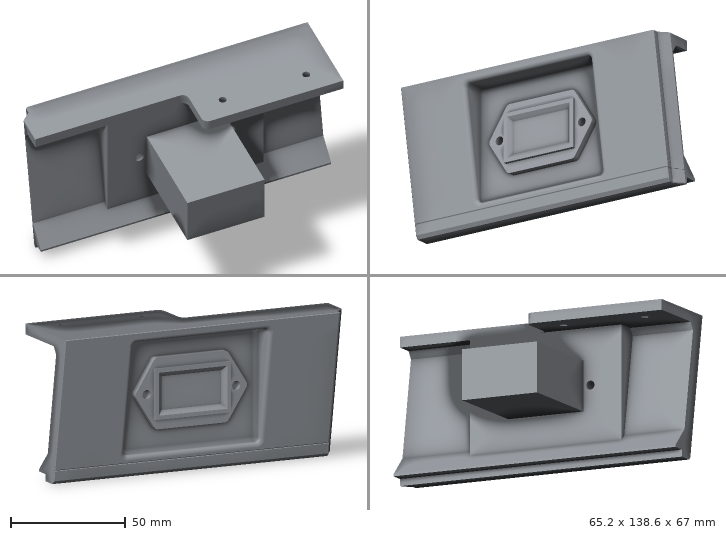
import cadquery as cq
import math

LENGTH = 138.6
HEIGHT = 67.0
TOTAL_DEPTH = 65.3

LEAN = math.tan(math.radians(10.2))
PANEL_THICKNESS = 8.0
RIM_DEPTH = 20.2
PLATE_THICKNESS = 4.9
PLATE_INNER_RUN = 2.9
PLATE_INNER_DROP = 3.3
TAIL_DEPTH = 26.5
TAIL_BOTTOM = 3.2
TAIL_TIP_HEIGHT = 1.0
FOOT_CHAMFER = 1.5
SPLIT_HEIGHT = 6.4
EDGE_CHAMFER = 0.3

END_STEP = 4.0
END_LAND = 3.2
END_NIP_DEPTH = 0.4
HOUSING_NIP_LENGTH = 0.8
STRIP_NIP_LENGTH = 0.4

PLATE_DEPTH = 40.0
PLATE_WIDE_START = 72.1
PLATE_CORNER_RADIUS = 3.0
MOUNT_HOLE_DIAMETER = 3.5
MOUNT_HOLE_X = 30.1
MOUNT_HOLE_YS = (85.2, 125.2)

CENTER_Y = 71.7
CENTER_Z = 36.3
RECESS_WIDTH = 66.5
RECESS_HEIGHT = 52.8
RECESS_FLOOR_X = 14.7
RECESS_RADIUS = 2.0
BOX_WALL = 4.0

BODY_WIDTH = 36.9
BODY_HEIGHT = 22.9
BEZEL_PROTRUSION = 5.4
FLANGE_THICKNESS = 3.6
FLANGE_HALF_WIDTH = 27.7
FLANGE_FLAT_HALF_WIDTH = 17.6
FLANGE_HALF_HEIGHT = 16.1
FLANGE_CORNER_RADIUS = 2.5
MOUTH_WIDTH = 33.4
MOUTH_HEIGHT = 19.3
MOUTH_TAPER = 2.1
MOUTH_DEPTH = 2.0
SCREW_DIAMETER = 4.0
SCREW_OFFSET = 21.9


def front_x(z):
    """X of the leaning front face at height z."""
    return (HEIGHT - z) * LEAN


def inner_x(z):
    """X of the leaning inner face at height z."""
    return front_x(z) + PANEL_THICKNESS


def diagonal_x(z):
    """X of the 45 degree upper side of the tail at height z."""
    return TAIL_DEPTH + TAIL_BOTTOM + TAIL_TIP_HEIGHT - z


def edge_at(x, y, z):
    """Selector for the edge nearest to a point."""
    return cq.selectors.NearestToPointSelector((x, y, z))


def near_end_edges(z):
    """Selector for the edges of the near end outline at height z."""
    margin = 0.1
    return cq.selectors.BoxSelector(
        (0, -margin, z - margin), (RIM_DEPTH, END_STEP + HOUSING_NIP_LENGTH, z + margin))


def outline_edges(z):
    """Selector for the front edge and the near end edges at height z."""
    return edge_at(front_x(z), LENGTH / 2, z) + near_end_edges(z)


def block(x_range, y_range, z_range):
    """Box between the given limits."""
    (x0, x1), (y0, y1), (z0, z1) = x_range, y_range, z_range
    return cq.Workplane("XY").box(x1 - x0, y1 - y0, z1 - z0, centered=False).translate((x0, y0, z0))


def section_prism(points):
    """Prism along the full length from XZ section points."""
    return cq.Workplane("XZ").polyline(points).close().extrude(-LENGTH)


def facing_plane(x):
    """Plane at depth x on the shared centre, looking along +X: local x is Y, local y is Z."""
    return cq.Workplane("YZ", origin=(x, CENTER_Y, CENTER_Z))


def cut_near_end(body, nip_length):
    """Step the near end back and bevel it at 45 degrees, following the leaning face."""
    corners = [
        (-TOTAL_DEPTH, 0),
        (END_LAND + END_STEP, 0),
        (END_LAND, END_STEP),
        (END_NIP_DEPTH, END_STEP),
        (0, END_STEP + nip_length),
        (-TOTAL_DEPTH, END_STEP + nip_length),
    ]
    wire = cq.Wire.makePolygon([cq.Vector(x, y, HEIGHT) for x, y in corners], close=True)
    notch = cq.Solid.extrudeLinear(wire, [], cq.Vector(front_x(0), 0, -HEIGHT))
    return body.cut(cq.Workplane(notch))


def make_panel():
    """Leaning panel with its top rim and the upper part of the tail."""
    plate_under = HEIGHT - PLATE_THICKNESS
    knee_z = (diagonal_x(0) - inner_x(0)) / (1 - LEAN)
    panel = section_prism([
        (0, HEIGHT),
        (RIM_DEPTH, HEIGHT),
        (RIM_DEPTH, plate_under),
        (inner_x(plate_under) + PLATE_INNER_RUN, plate_under),
        (inner_x(plate_under - PLATE_INNER_DROP), plate_under - PLATE_INNER_DROP),
        (diagonal_x(knee_z), knee_z),
        (diagonal_x(SPLIT_HEIGHT), SPLIT_HEIGHT),
        (front_x(SPLIT_HEIGHT), SPLIT_HEIGHT),
    ])
    panel = cut_near_end(panel, HOUSING_NIP_LENGTH)
    front_far = edge_at(front_x(HEIGHT / 2), LENGTH, HEIGHT / 2)
    front_bottom = edge_at(front_x(SPLIT_HEIGHT), LENGTH / 2, SPLIT_HEIGHT)
    return panel.edges(front_far + front_bottom + outline_edges(HEIGHT)).chamfer(EDGE_CHAMFER)


def make_wide_plate():
    """Wider far part of the top plate, with the mounting holes."""
    plate = (
        cq.Workplane("XY", origin=(0, 0, HEIGHT))
        .moveTo(RIM_DEPTH - PLATE_CORNER_RADIUS, LENGTH)
        .lineTo(PLATE_DEPTH, LENGTH)
        .lineTo(PLATE_DEPTH, PLATE_WIDE_START + PLATE_CORNER_RADIUS)
        .radiusArc((PLATE_DEPTH - PLATE_CORNER_RADIUS, PLATE_WIDE_START), PLATE_CORNER_RADIUS)
        .lineTo(RIM_DEPTH + PLATE_CORNER_RADIUS, PLATE_WIDE_START)
        .radiusArc((RIM_DEPTH, PLATE_WIDE_START - PLATE_CORNER_RADIUS), -PLATE_CORNER_RADIUS)
        .lineTo(RIM_DEPTH - PLATE_CORNER_RADIUS, PLATE_WIDE_START - PLATE_CORNER_RADIUS)
        .close()
        .extrude(-PLATE_THICKNESS)
    )
    holes = (
        cq.Workplane("XY", origin=(0, 0, HEIGHT))
        .pushPoints([(MOUNT_HOLE_X, y) for y in MOUNT_HOLE_YS])
        .circle(MOUNT_HOLE_DIAMETER / 2)
        .extrude(-PLATE_THICKNESS)
    )
    return plate.cut(holes)


def make_recess_box():
    """Solid block behind the panel that the recess is sunk into."""
    half = RECESS_WIDTH / 2 + BOX_WALL
    y_range = (CENTER_Y - half, CENTER_Y + half)
    z_range = (SPLIT_HEIGHT, HEIGHT - PLATE_THICKNESS)
    outer = block((0, RIM_DEPTH), y_range, z_range)
    behind_face = section_prism([
        (front_x(HEIGHT) + PANEL_THICKNESS / 2, HEIGHT),
        (TOTAL_DEPTH, HEIGHT),
        (TOTAL_DEPTH, 0),
        (front_x(0) + PANEL_THICKNESS / 2, 0),
    ])
    return outer.intersect(behind_face)


def make_recess():
    """Recess volume with rounded corners and floor edge."""
    recess = facing_plane(RECESS_FLOOR_X).rect(RECESS_WIDTH, RECESS_HEIGHT).extrude(-TOTAL_DEPTH)
    return recess.edges("|X").fillet(RECESS_RADIUS).faces(">X").edges().fillet(RECESS_RADIUS)


def screw_holes():
    """Drill volumes for the two socket screws."""
    return (
        facing_plane(0)
        .pushPoints([(-SCREW_OFFSET, 0), (SCREW_OFFSET, 0)])
        .circle(SCREW_DIAMETER / 2)
        .extrude(TOTAL_DEPTH)
    )


def make_housing():
    """Panel, plate and recess box in one, opened for the socket."""
    housing = make_panel().union(make_wide_plate()).union(make_recess_box())
    housing = housing.cut(make_recess())
    rim = edge_at(front_x(CENTER_Z), CENTER_Y - RECESS_WIDTH / 2, CENTER_Z)
    housing = housing.edges(rim).fillet(RECESS_RADIUS)
    opening = facing_plane(0).rect(BODY_WIDTH, BODY_HEIGHT).extrude(TOTAL_DEPTH)
    return housing.cut(opening).cut(screw_holes())


def make_base_strip():
    """Strip below the seam: foot and lower part of the tail."""
    strip = section_prism([
        (front_x(SPLIT_HEIGHT), SPLIT_HEIGHT),
        (diagonal_x(SPLIT_HEIGHT), SPLIT_HEIGHT),
        (TAIL_DEPTH, TAIL_BOTTOM + TAIL_TIP_HEIGHT),
        (TAIL_DEPTH, TAIL_BOTTOM),
        (RIM_DEPTH, TAIL_BOTTOM),
        (RIM_DEPTH, 0),
        (front_x(FOOT_CHAMFER) + FOOT_CHAMFER, 0),
        (front_x(FOOT_CHAMFER), FOOT_CHAMFER),
    ])
    strip = cut_near_end(strip, STRIP_NIP_LENGTH)
    front_far = edge_at(front_x(SPLIT_HEIGHT / 2), LENGTH, SPLIT_HEIGHT / 2)
    return strip.edges(front_far + outline_edges(SPLIT_HEIGHT) + near_end_edges(0)).chamfer(EDGE_CHAMFER)


def make_socket():
    """Socket body with its hexagonal flange and tapered mouth."""
    bezel_x = RECESS_FLOOR_X - BEZEL_PROTRUSION
    body = facing_plane(bezel_x).rect(BODY_WIDTH, BODY_HEIGHT).extrude(TOTAL_DEPTH - bezel_x)
    flange = (
        facing_plane(RECESS_FLOOR_X - FLANGE_THICKNESS)
        .polyline([
            (-FLANGE_HALF_WIDTH, 0),
            (-FLANGE_FLAT_HALF_WIDTH, FLANGE_HALF_HEIGHT),
            (FLANGE_FLAT_HALF_WIDTH, FLANGE_HALF_HEIGHT),
            (FLANGE_HALF_WIDTH, 0),
            (FLANGE_FLAT_HALF_WIDTH, -FLANGE_HALF_HEIGHT),
            (-FLANGE_FLAT_HALF_WIDTH, -FLANGE_HALF_HEIGHT),
        ])
        .close()
        .extrude(FLANGE_THICKNESS)
        .edges("|X").fillet(FLANGE_CORNER_RADIUS)
        .cut(screw_holes())
    )
    mouth = (
        facing_plane(bezel_x)
        .rect(MOUTH_WIDTH, MOUTH_HEIGHT)
        .workplane(offset=MOUTH_DEPTH)
        .rect(MOUTH_WIDTH - 2 * MOUTH_TAPER, MOUTH_HEIGHT - 2 * MOUTH_TAPER)
        .loft()
    )
    return body.union(flange).cut(mouth)


housing = make_housing()
base_strip = make_base_strip()
socket = make_socket()

result = cq.Compound.makeCompound([housing.val(), base_strip.val(), socket.val()])